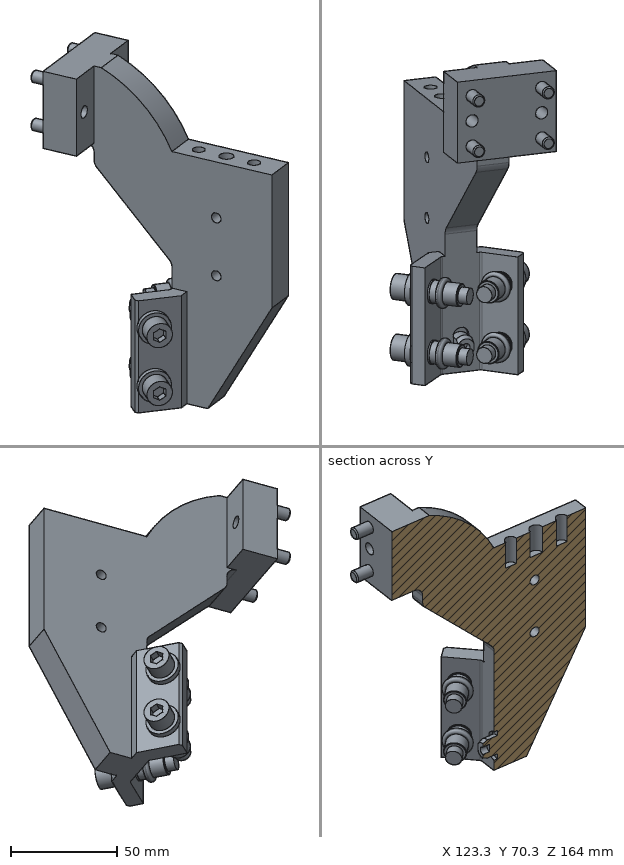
import cadquery as cq
import math


height = 164.0
plate_length = 114.0
plate_thickness = 16.0
shoulder_x = 60.0
shoulder_z = 129.0
crown_x = 22.0
crown_radius = 70.0
neck_top_z = 113.2
neck_fillet = 5.0
slope_start_z = 60.0
slope_angle = 60.0
side_hole_diameter = 5.1
side_hole_inset = 30.0
side_hole_x = plate_length - side_hole_inset
side_hole_top_z = 100.0
side_hole_spacing = 30.0
top_hole_depth = 14.8
top_hole_inset = 29.0
top_hole_x = plate_length - top_hole_inset
top_hole_spacing = 15.0
top_hole_middle_diameter = 7.0
top_hole_outer_diameter = 6.0

block_length = 18.0
block_width = 50.0
block_height = 40.0
block_bottom_z = height - block_height
block_middle_z = height - block_height / 2
pin_diameter = 6.0
pin_length = 9.3
pin_chamfer = 0.7
pin_spacing_y = 35.1
pin_spacing_z = 25.0
block_hole_diameter = 6.0

bracket_height = 58.2
bracket_thickness = 8.0
bracket_half_width = 28.2
bend_y = 10.0
bend_fillet = 1.5
arm_length = 19.0
arm_angle = math.radians(45)
arm_slope = math.sin(arm_angle)

screw_bottom_z = 14.1
screw_spacing = 30.0
screw_offset = 10.3
washer_diameter = 16.0
washer_thickness = 2.8
cap_diameter = 12.5
cap_height = 8.2
socket_flats = 6.0
socket_depth = 4.0
foot_diameter = 11.6
foot_height = 0.8
shank_diameter = 11.0
shank_length = 15.0
shank_chamfer = 0.3
tip_diameter = 7.9
tip_reach = 19.4
collar_diameter = 14.8
collar_width = 3.3
collar_start = 4.3
collar_rounding = 1.5

locator_diameter = 10.8
locator_width = 7.9
locator_reach = 6.5
locator_lead_length = 2.6
locator_lead_depth = 1.1
locator_bore_diameter = 4.0
locator_bore_depth = 4.0
slot_length = 16.0
slot_depth = 2.0


def hexagon(plane, across_flats, depth):
    """Hexagonal prism extruded along the plane normal, corners on its local X axis."""
    return cq.Workplane(plane).polygon(6, across_flats / math.cos(math.pi / 6)).extrude(depth)


def make_plate():
    slope_run = slope_start_z / math.tan(math.radians(slope_angle))
    neck_bottom_z = neck_top_z - (shoulder_x - block_length)
    plate = (
        cq.Workplane("XZ")
        .moveTo(0, height)
        .lineTo(crown_x, height)
        .radiusArc((shoulder_x, shoulder_z), crown_radius)
        .lineTo(plate_length, shoulder_z)
        .lineTo(plate_length, slope_start_z)
        .lineTo(plate_length - slope_run, 0)
        .lineTo(shoulder_x, 0)
        .lineTo(shoulder_x, neck_bottom_z)
        .lineTo(block_length, neck_top_z)
        .lineTo(block_length, block_bottom_z)
        .lineTo(0, block_bottom_z)
        .close()
        .extrude(plate_thickness / 2, both=True)
    )
    for x, z in (
        (shoulder_x, neck_bottom_z),
        (block_length, neck_top_z),
        (block_length, block_bottom_z),
    ):
        corner = cq.selectors.NearestToPointSelector((x, 0, z))
        plate = plate.edges("|Y").edges(corner).fillet(neck_fillet)
    return plate


def make_block():
    block = (
        cq.Workplane("YZ")
        .center(0, block_middle_z)
        .rect(block_width, block_height)
        .extrude(block_length)
    )
    pins = (
        cq.Workplane("YZ")
        .center(0, block_middle_z)
        .rect(pin_spacing_y, pin_spacing_z, forConstruction=True)
        .vertices()
        .circle(pin_diameter / 2)
        .extrude(-pin_length)
        .faces("<X")
        .chamfer(pin_chamfer)
    )
    return block.union(pins)


def make_bracket():
    outer_x = shoulder_x + bracket_thickness
    outer_bend_y = bend_y + bracket_thickness * math.tan(arm_angle / 2)
    arm_end_x = shoulder_x - arm_length * arm_slope
    arm_end_y = bend_y + arm_length * arm_slope
    end_cut_x = arm_end_x + bracket_half_width - arm_end_y
    outer_end_x = outer_x - (bracket_half_width - outer_bend_y)
    half = (
        cq.Workplane("XY")
        .moveTo(shoulder_x, 0)
        .lineTo(shoulder_x, bend_y)
        .lineTo(arm_end_x, arm_end_y)
        .lineTo(end_cut_x, bracket_half_width)
        .lineTo(outer_end_x, bracket_half_width)
        .lineTo(outer_x, outer_bend_y)
        .lineTo(outer_x, 0)
        .close()
        .extrude(bracket_height)
    )
    inner_bend = cq.selectors.NearestToPointSelector((shoulder_x, bend_y, bracket_height / 2))
    half = half.edges("|Z").edges(inner_bend).fillet(bend_fillet)
    return half.union(half.mirror("XZ"))


def arm_plane(z, distance):
    """Plane on the screw axis, at a distance outward from the inner face of the +Y arm."""
    x = shoulder_x + (distance - screw_offset) * arm_slope
    y = bend_y + (distance + screw_offset) * arm_slope
    return cq.Plane(origin=(x, y, z), xDir=(0, 0, 1), normal=(1, 1, 0))


def arm_disc(z, diameter, start, end):
    """Cylinder on the screw axis between two distances from the inner arm face."""
    return cq.Workplane(arm_plane(z, start)).circle(diameter / 2).extrude(end - start)


def make_screw(z):
    cap_start = bracket_thickness + washer_thickness
    cap_end = cap_start + cap_height
    washer = arm_disc(z, washer_diameter, bracket_thickness, cap_start)
    cap = arm_disc(z, cap_diameter, cap_start, cap_end)
    socket = hexagon(arm_plane(z, cap_end - socket_depth), socket_flats, socket_depth)
    shank = arm_disc(z, shank_diameter, -shank_length, cap_start)
    inner_end = cq.selectors.DirectionMinMaxSelector(cq.Vector(1, 1, 0), directionMax=False)
    shank = shank.faces(inner_end).chamfer(shank_chamfer)
    foot = arm_disc(z, foot_diameter, -foot_height, bracket_thickness)
    tip = arm_disc(z, tip_diameter, -tip_reach, 0)
    collar = arm_disc(z, collar_diameter, -collar_start - collar_width, -collar_start)
    collar = collar.edges().fillet(collar_rounding)
    return washer.union(cap).cut(socket).union(shank).union(foot).union(tip).union(collar)


def make_locator():
    radius = locator_diameter / 2
    tip_x = shoulder_x - locator_reach
    turned = (
        cq.Workplane("XY")
        .moveTo(shoulder_x + slot_depth, 0)
        .lineTo(shoulder_x + slot_depth, radius)
        .lineTo(tip_x + locator_lead_length, radius)
        .lineTo(tip_x, radius - locator_lead_depth)
        .lineTo(tip_x, 0)
        .close()
        .revolve(360, (0, 0, 0), (1, 0, 0))
    )
    flats = cq.Workplane("XY", origin=(shoulder_x, 0, 0)).box(
        2 * locator_reach, locator_width, locator_diameter
    )
    bore = (
        cq.Workplane("YZ", origin=(tip_x, 0, 0))
        .circle(locator_bore_diameter / 2)
        .extrude(locator_bore_depth)
    )
    return turned.intersect(flats).cut(bore).translate((0, 0, screw_bottom_z))


def drill_holes(body):
    block_holes = (
        cq.Workplane("YZ")
        .pushPoints([(side * pin_spacing_y / 2, block_middle_z) for side in (-1, 1)])
        .circle(block_hole_diameter / 2)
        .extrude(block_length)
    )
    side_holes = (
        cq.Workplane("XZ")
        .pushPoints([(side_hole_x, side_hole_top_z - i * side_hole_spacing) for i in range(2)])
        .circle(side_hole_diameter / 2)
        .extrude(plate_thickness, both=True)
    )
    body = body.cut(block_holes).cut(side_holes)
    for step in (-1, 0, 1):
        diameter = top_hole_outer_diameter if step else top_hole_middle_diameter
        top_hole = (
            cq.Workplane("XY", origin=(top_hole_x + step * top_hole_spacing, 0, shoulder_z))
            .circle(diameter / 2)
            .extrude(-top_hole_depth)
        )
        body = body.cut(top_hole)
    return body


body = drill_holes(make_plate().union(make_block()).union(make_bracket()))

for screw_z in (screw_bottom_z, screw_bottom_z + screw_spacing):
    screw = make_screw(screw_z)
    body = body.union(screw).union(screw.mirror("XZ"))

slot = (
    cq.Workplane("YZ", origin=(shoulder_x, 0, screw_bottom_z))
    .slot2D(slot_length, locator_width, 90)
    .extrude(slot_depth)
)
result = body.cut(slot).union(make_locator())